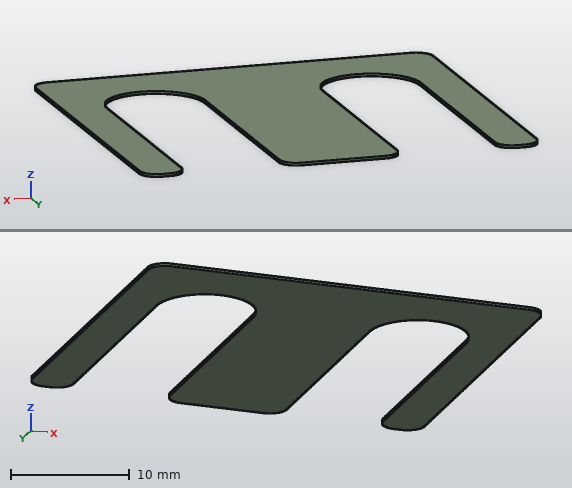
import cadquery as cq

width = 35.05
depth = 31.75
thickness = 0.25
corner_radius = 1.5

slot_width = 8.62
slot_spacing = 19.03
slot_depth = 26.4

slot_radius = slot_width / 2
back_edge = depth / 2
slot_arc_center_y = back_edge - slot_depth + slot_radius


def slot_cutter(center_x):
    """Slot with straight sides and a half-round closed end."""
    return (
        cq.Workplane("XY")
        .moveTo(center_x - slot_radius, back_edge)
        .lineTo(center_x - slot_radius, slot_arc_center_y)
        .threePointArc(
            (center_x, slot_arc_center_y - slot_radius),
            (center_x + slot_radius, slot_arc_center_y),
        )
        .lineTo(center_x + slot_radius, back_edge)
        .close()
        .extrude(thickness)
    )


plate = cq.Workplane("XY").rect(width, depth).extrude(thickness)
for side in (-1, 1):
    plate = plate.cut(slot_cutter(side * slot_spacing / 2))

front_corners = plate.faces("<Y").edges("|Z")
finger_tips = plate.faces(">Y").edges("|Z")
result = plate.newObject(front_corners.vals() + finger_tips.vals()).fillet(corner_radius)